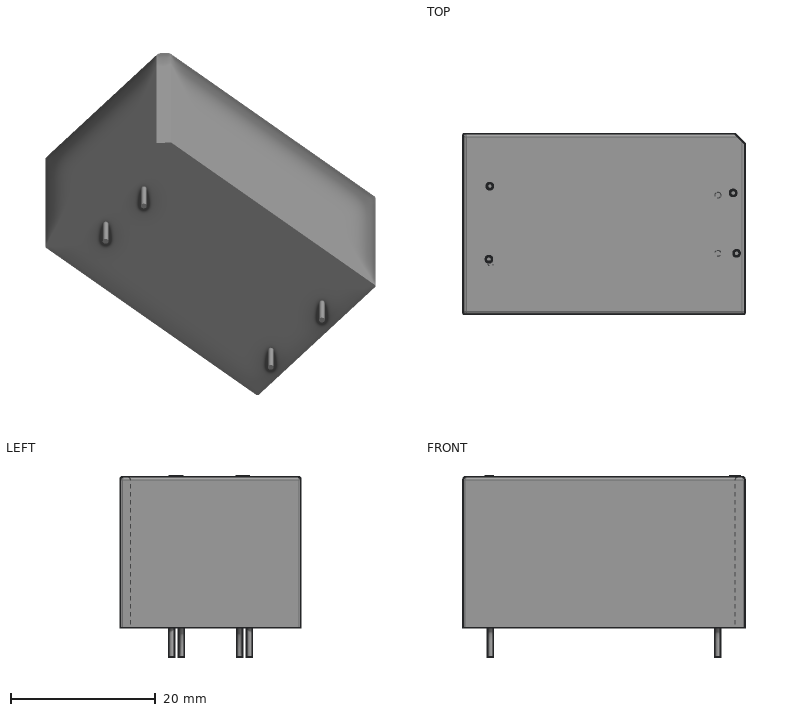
import cadquery as cq

length = 39.0
width = 25.0
total_height = 25.05
pin_length = 4.0
mark_height = 0.08
side_edge_radius = 0.27
top_edge_radius = 0.45
corner_cut = 1.4

pin_diameter = 0.8
pin_x = 15.7
left_pin_y = 5.4
right_pin_y = 4.0

ring_outer_diameter = 0.98
ring_inner_diameter = 0.75
ring_centers = [(-15.8, 5.23), (-15.9, -4.88), (17.85, 4.3), (18.33, -4.05)]

case_height = total_height - pin_length - mark_height


def make_case():
    """Block standing on z = 0 with rounded edges, then one corner cut off flat."""
    block = cq.Workplane("XY").box(length, width, case_height, centered=(True, True, False))
    block = block.edges("|Z").fillet(side_edge_radius)
    block = block.faces(">Z").edges().fillet(top_edge_radius)
    corner = (length / 2, width / 2)
    cutter = (
        cq.Workplane("XY")
        .polyline([corner, (corner[0] - corner_cut, corner[1]), (corner[0], corner[1] - corner_cut)])
        .close()
        .extrude(case_height)
    )
    return block.cut(cutter)


def make_pins():
    """Four pins reaching down from the underside."""
    centers = []
    for side in (-1, 1):
        centers.append((-pin_x, side * left_pin_y))
        centers.append((pin_x, side * right_pin_y))
    return cq.Workplane("XY").pushPoints(centers).circle(pin_diameter / 2).extrude(-pin_length)


def make_rings():
    """Thin rings standing on the top face."""
    rings = cq.Workplane("XY").workplane(offset=case_height).pushPoints(ring_centers)
    rings = rings.circle(ring_outer_diameter / 2).circle(ring_inner_diameter / 2)
    return rings.extrude(mark_height)


result = make_case().union(make_pins()).union(make_rings())